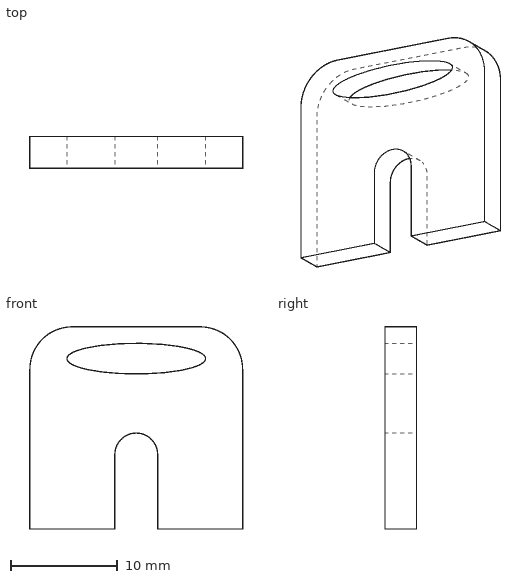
import cadquery as cq

width = 20.0
thickness = 3.0
height = 19.0
corner_radius = 4.0

slot_width = 4.0
slot_height = 9.0

hole_length = 13.0
hole_height = 2.85
hole_center_z = 16.0


def make_plate():
    """Upright plate with its two upper corners rounded."""
    plate = cq.Workplane("XY").box(width, thickness, height, centered=(True, True, False))
    return plate.faces(">Z").edges("|Y").fillet(corner_radius)


def make_slot():
    """Cutter for the slot that opens through the bottom edge."""
    radius = slot_width / 2
    straight_height = slot_height - radius
    return (
        cq.Workplane("XZ", origin=(0, thickness / 2, 0))
        .moveTo(-radius, 0)
        .lineTo(-radius, straight_height)
        .threePointArc((0, slot_height), (radius, straight_height))
        .lineTo(radius, 0)
        .close()
        .extrude(thickness)
    )


def make_hand_hole():
    """Cutter for the elliptical hole through the thickness."""
    return (
        cq.Workplane("XZ", origin=(0, thickness / 2, 0))
        .center(0, hole_center_z)
        .ellipse(hole_length / 2, hole_height / 2)
        .extrude(thickness)
    )


result = make_plate().cut(make_slot()).cut(make_hand_hole())